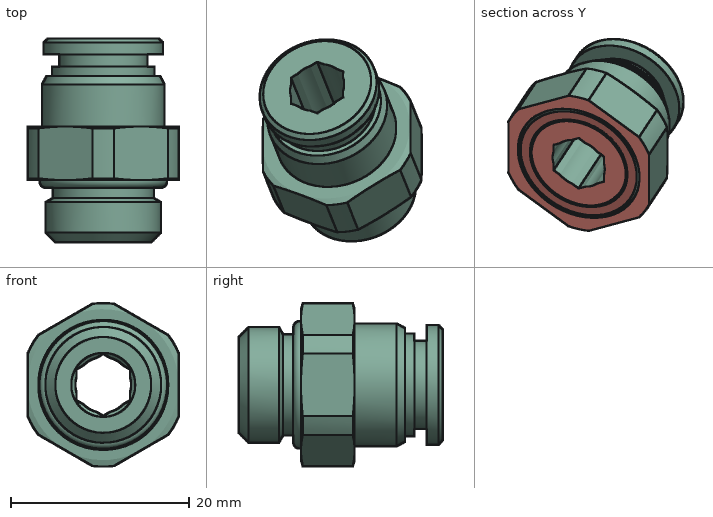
import cadquery as cq
import math

TOTAL_LENGTH = 22.9

THREAD_RADIUS = 6.5
TIP_CHAMFER = 1.12
THREAD_END_Y = 4.5
RELIEF_START_Y = 4.97
RELIEF_RADIUS = 5.7

HEX_FRONT_Y = 6.98
HEX_BACK_Y = 13.0
HEX_ACROSS_FLATS = 17.0
HEX_ACROSS_CORNERS = 18.4
HEX_CHAMFER_INNER_RADIUS = 8.47
HEX_CHAMFER_DEPTH = 0.2

BODY_RADIUS = 6.9
BODY_CONE_START_Y = 17.72
BODY_END_Y = 18.69
BODY_END_RADIUS = 6.4

COLLAR_RADIUS = 5.77
COLLAR_END_Y = 19.72
NECK_RADIUS = 4.97
FLANGE_RADIUS = 6.73
FLANGE_START_Y = 21.1
FLANGE_CHAMFER_LENGTH = 0.45
FLANGE_END_RADIUS = 6.2

KEY_ACROSS_FLATS = 6.0
BORE_RADIUS = 3.11
BORE_MOUTH_RADIUS = 3.6
BORE_MOUTH_DEPTH = BORE_MOUTH_RADIUS - BORE_RADIUS

RING_SECTION_RADIUS = 0.73
RING_CENTER_RADIUS = RELIEF_RADIUS + RING_SECTION_RADIUS
RING_CENTER_Y = 6.85
RING_CLEARANCE = 0.14
RECESS_RADIUS = RING_CENTER_RADIUS + RING_SECTION_RADIUS + RING_CLEARANCE
RECESS_FLOOR_Y = RING_CENTER_Y + RING_SECTION_RADIUS


def revolve_about_y(profile):
    """Revolve a closed list of (radius, y) points about the Y axis."""
    return cq.Workplane("XY").polyline(profile).close().revolve(360, (0, 0, 0), (0, 1, 0))


def hexagonal_prism(across_flats, start_y, end_y):
    """Hexagonal prism along Y with two flats facing +X and -X."""
    corner_diameter = across_flats / math.cos(math.pi / 6)
    plane = cq.Plane(origin=(0, start_y, 0), xDir=(0, 0, 1), normal=(0, 1, 0))
    return cq.Workplane(plane).polygon(6, corner_diameter).extrude(end_y - start_y)


def make_turned_stem():
    """All the round steps of the fitting, from the threaded tip to the push flange."""
    return revolve_about_y([
        (0, 0),
        (THREAD_RADIUS - TIP_CHAMFER, 0),
        (THREAD_RADIUS, TIP_CHAMFER),
        (THREAD_RADIUS, THREAD_END_Y),
        (RELIEF_RADIUS, RELIEF_START_Y),
        (RELIEF_RADIUS, RECESS_FLOOR_Y),
        (BODY_RADIUS, RECESS_FLOOR_Y),
        (BODY_RADIUS, BODY_CONE_START_Y),
        (BODY_END_RADIUS, BODY_END_Y),
        (COLLAR_RADIUS, BODY_END_Y),
        (COLLAR_RADIUS, COLLAR_END_Y),
        (NECK_RADIUS, COLLAR_END_Y),
        (NECK_RADIUS, FLANGE_START_Y),
        (FLANGE_RADIUS, FLANGE_START_Y),
        (FLANGE_RADIUS, TOTAL_LENGTH - FLANGE_CHAMFER_LENGTH),
        (FLANGE_END_RADIUS, TOTAL_LENGTH),
        (0, TOTAL_LENGTH),
    ])


def make_hex_collar():
    """Hexagon with turned-down corners and a shallow chamfer on both faces."""
    turned_envelope = revolve_about_y([
        (0, HEX_FRONT_Y),
        (HEX_CHAMFER_INNER_RADIUS, HEX_FRONT_Y),
        (HEX_ACROSS_CORNERS / 2, HEX_FRONT_Y + HEX_CHAMFER_DEPTH),
        (HEX_ACROSS_CORNERS / 2, HEX_BACK_Y - HEX_CHAMFER_DEPTH),
        (HEX_CHAMFER_INNER_RADIUS, HEX_BACK_Y),
        (0, HEX_BACK_Y),
    ])
    return hexagonal_prism(HEX_ACROSS_FLATS, HEX_FRONT_Y, HEX_BACK_Y).intersect(turned_envelope)


def make_ring_recess():
    """Annular recess in the hexagon's front face that seats the sealing ring."""
    return revolve_about_y([
        (RELIEF_RADIUS, HEX_FRONT_Y),
        (RECESS_RADIUS, HEX_FRONT_Y),
        (RECESS_RADIUS, RECESS_FLOOR_Y),
        (RELIEF_RADIUS, RECESS_FLOOR_Y),
    ])


def make_bore():
    """Key socket, round hole and countersunk mouth, running the full length."""
    key_socket = hexagonal_prism(KEY_ACROSS_FLATS, 0, TOTAL_LENGTH)
    round_hole_and_mouth = revolve_about_y([
        (0, 0),
        (BORE_MOUTH_RADIUS, 0),
        (BORE_RADIUS, BORE_MOUTH_DEPTH),
        (BORE_RADIUS, TOTAL_LENGTH),
        (0, TOTAL_LENGTH),
    ])
    return key_socket.union(round_hole_and_mouth)


def make_fitting():
    solid_fitting = make_turned_stem().union(make_hex_collar())
    return solid_fitting.cut(make_ring_recess()).cut(make_bore())


def make_sealing_ring():
    section = cq.Workplane("XY").center(RING_CENTER_RADIUS, RING_CENTER_Y).circle(RING_SECTION_RADIUS)
    axis_start = (-RING_CENTER_RADIUS, 0, 0)
    axis_end = (-RING_CENTER_RADIUS, 1, 0)
    return section.revolve(360, axis_start, axis_end)


fitting = make_fitting()
sealing_ring = make_sealing_ring()

result = cq.Compound.makeCompound([fitting.val(), sealing_ring.val()])